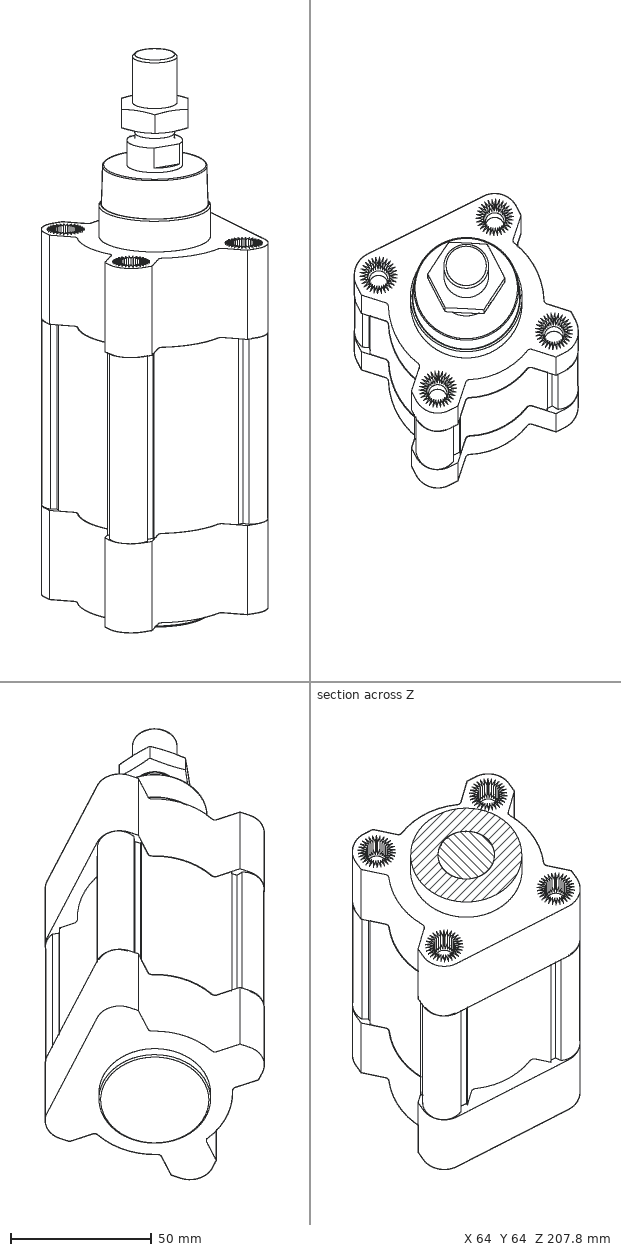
import cadquery as cq
import math

rear_collar_height = 4.2
cap_height = 33.2
barrel_height = 69.5
front_collar_height = 12.0
bearing_cap_height = 14.5
total_height = 207.8

barrel_z = rear_collar_height + cap_height
front_cap_z = barrel_z + barrel_height
mounting_z = front_cap_z + cap_height
bearing_z = mounting_z + front_collar_height
nose_z = bearing_z + bearing_cap_height

cap_width = 64.0
cap_disc_radius = 27.8
cap_lug_width = 17.5
screw_offset = 23.3
cap_corner_radius = cap_width / 2 - screw_offset
cap_root_fillet = 1.5

barrel_disc_radius = 27.6
barrel_lug_width = 17.2
barrel_lug_offset = 24.1
barrel_lug_radius = 7.5
barrel_lug_reach = 33.7
barrel_root_fillet = 1.9
slot_inner_x = 17.5
slot_floor_outer_x = 19.7
slot_mouth_outer_x = 21.0
slot_floor_y = 28.9
slot_mouth_y = 31.0

collar_diameter = 40.0
collar_chamfer = 0.6
bearing_bottom_diameter = 38.2
bearing_top_diameter = 37.5
bearing_chamfer = 0.5

socket_tip_diameter = 13.3
socket_root_diameter = 8.0
socket_teeth = 30
socket_depth = 8.3
drill_diameter = 6.6
drill_depth = 16.6
drill_point_angle = 118

rod_diameter = 20.0
rod_engagement = 33.2
rod_flat_width = 17.0
rod_flat_z = 168.3
shoulder_z = 175.8
neck_diameter = 14.1
neck_fillet = 1.0
neck_cone_z = 178.5
thread_z = 181.2
thread_diameter = 16.0
thread_chamfer = 0.8

nut_z = 181.8
nut_height = 8.1
nut_flats = 24.0
nut_corner_diameter = nut_flats / math.cos(math.radians(30))
nut_face_diameter = 23.0
nut_chamfer_angle = 15


def diagonal_bars(z, height, length, width):
    """Two crossed bars along the diagonals, which carry the four corner lugs."""
    bars = None
    for angle in (45, 135):
        bar = (
            cq.Workplane("XY", origin=(0, 0, z))
            .transformed(rotate=(0, 0, angle))
            .rect(length, width)
            .extrude(height)
        )
        bars = bar if bars is None else bars.union(bar)
    return bars


def fillet_lug_roots(body, disc_radius, fillet_radius):
    """Round the inside corners where the lugs leave the central disc."""

    def is_root(edge):
        center = edge.Center()
        return abs(math.hypot(center.x, center.y) - disc_radius) < 0.2

    roots = [edge for edge in body.edges("|Z").vals() if is_root(edge)]
    return body.newObject(roots).fillet(fillet_radius)


def end_cap(z):
    """Cap with four corner lugs, filled out to the full square on its +Y side."""
    base = cq.Workplane("XY", origin=(0, 0, z))
    square = base.rect(cap_width, cap_width).extrude(cap_height).edges("|Z").fillet(cap_corner_radius)
    disc = base.circle(cap_disc_radius).extrude(cap_height)
    side_depth = cap_width / 2 - screw_offset
    flat_side = (
        base.center(0, screw_offset + side_depth / 2)
        .rect(2 * screw_offset, side_depth)
        .extrude(cap_height)
    )
    bars = diagonal_bars(z, cap_height, 2 * cap_width, cap_lug_width)
    cap = bars.intersect(square).union(disc).union(flat_side)
    return fillet_lug_roots(cap, cap_disc_radius, cap_root_fillet)


def barrel_slots():
    """One sensor slot on each flank of each lug."""
    outline = [
        (slot_inner_x, cap_width),
        (slot_inner_x, slot_floor_y),
        (slot_floor_outer_x, slot_floor_y),
        (slot_mouth_outer_x, slot_mouth_y),
        (slot_mouth_outer_x, cap_width),
    ]
    slot = cq.Workplane("XY", origin=(0, 0, barrel_z)).polyline(outline).close().extrude(barrel_height)
    pair = slot.union(slot.mirror("YZ"))
    slots = pair
    for quarter in range(1, 4):
        slots = slots.union(pair.rotate((0, 0, 0), (0, 0, 1), 90 * quarter))
    return slots


def barrel():
    """Profile barrel with a rounded lug around each tie screw."""
    base = cq.Workplane("XY", origin=(0, 0, barrel_z))
    disc = base.circle(barrel_disc_radius).extrude(barrel_height)
    lug_ends = (
        base.rect(2 * barrel_lug_offset, 2 * barrel_lug_offset, forConstruction=True)
        .vertices()
        .circle(barrel_lug_radius)
        .extrude(barrel_height)
    )
    bars = diagonal_bars(barrel_z, barrel_height, 2 * barrel_lug_reach, barrel_lug_width)
    body = bars.union(lug_ends).cut(barrel_slots()).union(disc)
    return fillet_lug_roots(body, barrel_disc_radius, barrel_root_fillet)


def rear_collar():
    collar = cq.Workplane("XY").circle(collar_diameter / 2).extrude(rear_collar_height)
    return collar.faces("<Z").chamfer(collar_chamfer)


def front_collar():
    """Centring collar with the slightly tapered bearing cap on top of it."""
    collar = (
        cq.Workplane("XY", origin=(0, 0, mounting_z))
        .circle(collar_diameter / 2)
        .extrude(front_collar_height)
        .faces(">Z")
        .chamfer(collar_chamfer)
    )
    bearing_cap = (
        cq.Workplane("XY", origin=(0, 0, bearing_z))
        .circle(bearing_bottom_diameter / 2)
        .workplane(offset=bearing_cap_height)
        .circle(bearing_top_diameter / 2)
        .loft(ruled=True)
        .faces(">Z")
        .chamfer(bearing_chamfer)
    )
    return collar.union(bearing_cap)


def screw_socket(x, y):
    """Serrated socket with a drilled hole and drill point below it."""
    points = []
    for step in range(2 * socket_teeth):
        radius = (socket_tip_diameter if step % 2 == 0 else socket_root_diameter) / 2
        angle = math.pi * step / socket_teeth
        points.append((radius * math.cos(angle), radius * math.sin(angle)))
    star = cq.Workplane("XY", origin=(x, y, mounting_z)).polyline(points).close().extrude(-socket_depth)
    drill_radius = drill_diameter / 2
    point_depth = drill_radius / math.tan(math.radians(drill_point_angle / 2))
    drill = (
        cq.Workplane("XZ")
        .moveTo(0, 0)
        .lineTo(drill_radius, 0)
        .lineTo(drill_radius, -drill_depth)
        .lineTo(0, -drill_depth - point_depth)
        .close()
        .revolve(360, (0, 0, 0), (0, 1, 0))
        .translate((x, y, mounting_z))
    )
    return star.union(drill)


def make_housing():
    housing = end_cap(rear_collar_height).union(barrel()).union(end_cap(front_cap_z))
    housing = housing.union(rear_collar()).union(front_collar())
    for x in (-screw_offset, screw_offset):
        for y in (-screw_offset, screw_offset):
            housing = housing.cut(screw_socket(x, y))
    rod_bore = (
        cq.Workplane("XY", origin=(0, 0, nose_z - rod_engagement))
        .circle(rod_diameter / 2)
        .extrude(rod_engagement)
    )
    return housing.cut(rod_bore)


def make_piston_rod():
    """Rod with two wrench flats, an undercut neck and a chamfered thread end."""
    neck_radius = neck_diameter / 2
    thread_radius = thread_diameter / 2
    rod = (
        cq.Workplane("XZ")
        .moveTo(0, nose_z - rod_engagement)
        .lineTo(rod_diameter / 2, nose_z - rod_engagement)
        .lineTo(rod_diameter / 2, shoulder_z)
        .lineTo(neck_radius + neck_fillet, shoulder_z)
        .radiusArc((neck_radius, shoulder_z + neck_fillet), neck_fillet)
        .lineTo(neck_radius, neck_cone_z)
        .lineTo(thread_radius, thread_z)
        .lineTo(thread_radius, total_height - thread_chamfer)
        .lineTo(thread_radius - thread_chamfer, total_height)
        .lineTo(0, total_height)
        .close()
        .revolve(360, (0, 0, 0), (0, 1, 0))
    )
    flat_height = shoulder_z - rod_flat_z
    flat_depth = (rod_diameter - rod_flat_width) / 2
    for side in (-1, 1):
        flat_x = side * (rod_flat_width + flat_depth) / 2
        flat = (
            cq.Workplane("XY", origin=(flat_x, 0, rod_flat_z))
            .rect(flat_depth, rod_diameter)
            .extrude(flat_height)
        )
        rod = rod.cut(flat)
    return rod


def make_nut():
    """Hexagon nut with a corner on the Y axis, chamfered on both faces."""
    hexagon = (
        cq.Workplane("XY", origin=(0, 0, nut_z))
        .transformed(rotate=(0, 0, 90))
        .polygon(6, nut_corner_diameter)
        .extrude(nut_height)
    )
    face_radius = nut_face_diameter / 2
    corner_radius = nut_corner_diameter / 2
    drop = (corner_radius - face_radius) * math.tan(math.radians(nut_chamfer_angle))
    envelope = (
        cq.Workplane("XZ")
        .moveTo(0, nut_z)
        .lineTo(face_radius, nut_z)
        .lineTo(corner_radius, nut_z + drop)
        .lineTo(corner_radius, nut_z + nut_height - drop)
        .lineTo(face_radius, nut_z + nut_height)
        .lineTo(0, nut_z + nut_height)
        .close()
        .revolve(360, (0, 0, 0), (0, 1, 0))
    )
    bore = cq.Workplane("XY", origin=(0, 0, nut_z)).circle(thread_diameter / 2).extrude(nut_height)
    return hexagon.intersect(envelope).cut(bore)


housing = make_housing()
piston_rod = make_piston_rod()
nut = make_nut()

result = cq.Compound.makeCompound([housing.val(), piston_rod.val(), nut.val()])